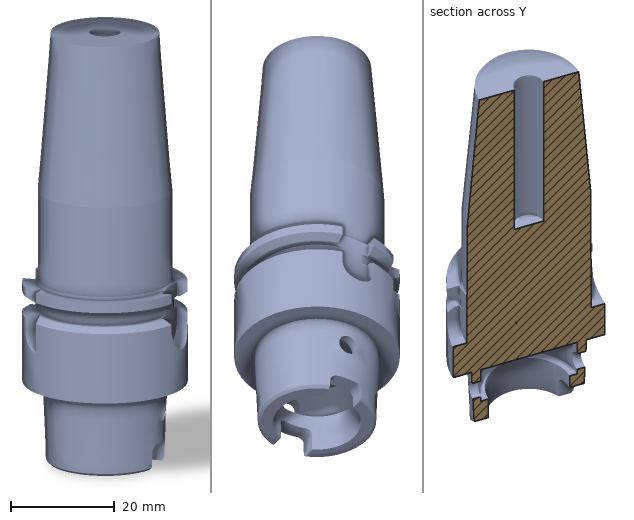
import cadquery as cq

total_length = 86.0
shank_length = 16.0
flange_top = 36.0
collar_top = 36.55
nose_cone_start = 54.4

flange_radius = 16.0
shank_radius = 12.1
shank_end_radius = 11.4
shank_chamfer = 0.5
collar_radius = 13.3
nose_radius = 13.0
nose_tip_radius = 10.5

groove_floor_radius = 13.3
groove_bottom = 31.0
groove_top = 33.1
groove_chamfer_height = 1.0
groove_chamfer_radial = 1.55

tool_bore_diameter = 6.0
tool_bore_depth = 36.0
shank_mouth_radius = 8.5
shank_mouth_depth = 8.0
shank_cavity_radius = 10.1
cross_hole_diameter = 3.95
cross_hole_height = 11.1

slot_bottom = 24.1
slot_width = 7.05
wide_slot_width = 9.1
slot_floor = 13.2
corner_slot_floor = 9.5
corner_slot_edge = 9.5

notch_width = 7.05
notch_depth = 3.1
deep_notch_depth = 4.9
notch_corner_radius = 1.3

cut_reach = flange_radius + 0.9


def turned_body():
    """Shank, grooved flange and tapered nose, revolved about Z."""
    groove_mouth_radius = flange_radius - groove_chamfer_radial
    profile = [
        (0, 0),
        (shank_end_radius - shank_chamfer, 0),
        (shank_end_radius, shank_chamfer),
        (shank_radius, shank_length),
        (flange_radius, shank_length),
        (flange_radius, groove_bottom - groove_chamfer_height),
        (groove_mouth_radius, groove_bottom),
        (groove_floor_radius, groove_bottom),
        (groove_floor_radius, groove_top),
        (groove_mouth_radius, groove_top),
        (flange_radius, groove_top + groove_chamfer_height),
        (flange_radius, flange_top),
        (collar_radius, flange_top),
        (nose_radius, collar_top),
        (nose_radius, nose_cone_start),
        (nose_tip_radius, total_length),
        (0, total_length),
    ]
    return cq.Workplane("XZ").polyline(profile).close().revolve(360, (0, 0), (0, 1))


def flange_slot(side, width, floor, center_y):
    """Round-bottomed slot cutter, open upward and outward on the -X (-1) or +X (+1) side."""
    radius = width / 2
    axis_height = slot_bottom + radius
    return (
        cq.Workplane("YZ", origin=(side * floor, 0, 0))
        .moveTo(center_y - radius, collar_top)
        .lineTo(center_y - radius, axis_height)
        .threePointArc((center_y, slot_bottom), (center_y + radius, axis_height))
        .lineTo(center_y + radius, collar_top)
        .close()
        .extrude(side * (cut_reach - floor))
    )


def drive_notch(side, depth):
    """Notch cutter for one side of the shank end, with its upper corners rounded."""
    return (
        cq.Workplane("XY")
        .box(cut_reach, notch_width, depth, centered=(True, True, False))
        .edges("|X and >Z")
        .fillet(notch_corner_radius)
        .translate((side * cut_reach / 2, 0, 0))
    )


def axial_bores():
    """Blind tool bore from the nose and clamping cavity from the shank end."""
    tool_bore = (
        cq.Workplane("XY", origin=(0, 0, total_length))
        .circle(tool_bore_diameter / 2)
        .extrude(-tool_bore_depth)
    )
    mouth = cq.Workplane("XY").circle(shank_mouth_radius).extrude(shank_mouth_depth)
    cavity = (
        cq.Workplane("XY", origin=(0, 0, shank_mouth_depth))
        .circle(shank_cavity_radius)
        .extrude(shank_length - shank_mouth_depth)
    )
    return tool_bore.union(mouth).union(cavity)


def cross_hole():
    """Radial hole passing through both walls of the shank."""
    return (
        cq.Workplane("YZ")
        .center(0, cross_hole_height)
        .circle(cross_hole_diameter / 2)
        .extrude(cut_reach, both=True)
    )


corner_slot_center = -(corner_slot_edge + slot_width / 2)

result = (
    turned_body()
    .cut(flange_slot(-1, slot_width, slot_floor, 0))
    .cut(flange_slot(1, wide_slot_width, slot_floor, 0))
    .cut(flange_slot(-1, slot_width, corner_slot_floor, corner_slot_center))
    .cut(axial_bores())
    .cut(cross_hole())
    .cut(drive_notch(-1, notch_depth))
    .cut(drive_notch(1, deep_notch_depth))
)